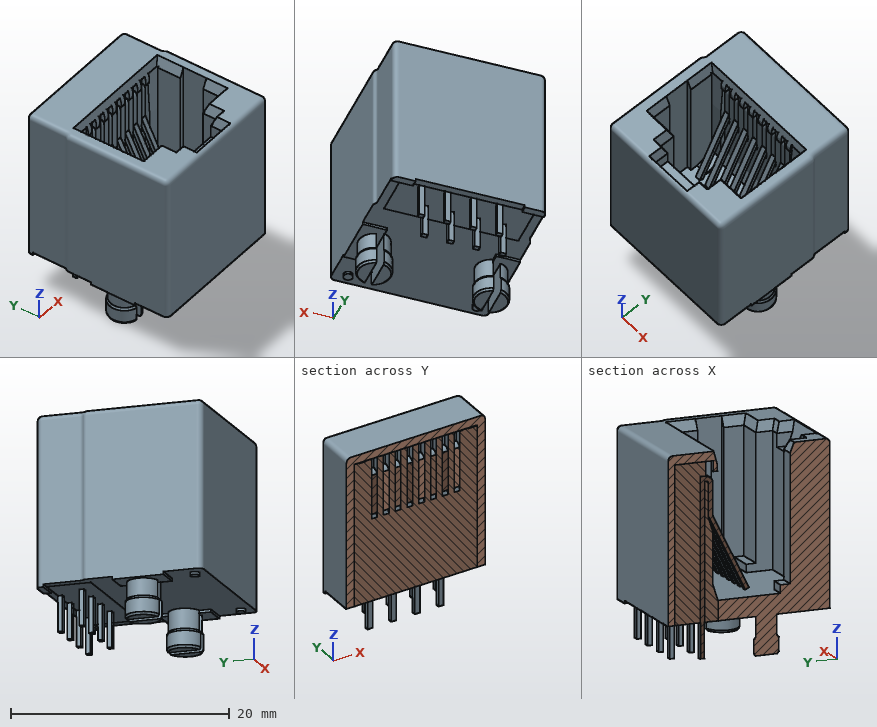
import cadquery as cq
import math


width = 15.4
depth = 16.2
foot_height = 0.25
post_length = 3.48
height = 19.9 - foot_height - post_length
edge_radius = 0.52
side_step = 0.24
step_start = 11.42
step_end = 11.72
step_radius = 0.5

floor_z = 1.99
lead_in = 1.0
cavity_half = 5.99
cavity_front = 4.02
keyway_half = 3.2
keyway_front = 2.37
latch_half = 2.19
mouth_flare = 0.48
mouth_flare_front = 0.4
mouth_flare_rear = 0.28
mouth_back = 11.6
latch_wall_top = 0.45
latch_wall_run = 0.8
latch_ledge_z = 13.85
shoulder_depth = 0.98
shoulder_rise = 0.8
side_notch_start = 6.03
side_notch_end = 8.64
ramp_length = 1.8
ramp_angle = 22.0

foot_inner_x = 5.33
side_foot_start = 3.75
side_foot_end = 8.72
rear_wall = 0.72
post_x = 5.71
post_y = 6.37
post_diameter = 3.1
post_head_diameter = 3.38
post_head_length = 1.83
post_chamfer = 0.24
post_slot = 0.72
nub_diameter = 0.9
nub_x = 6.3
nub_y = 1.17

contact_count = 8
contact_span = 8.9
contact_width = 0.55
contact_thickness = 0.44
contact_face = 11.68
contact_top = height - 2.3
contact_bend = 0.7
spring_start = height - 6.1
spring_angle = 63.4
spring_tip_y = 8.08
pin_length = 3.42
front_pin_y = 12.74
rear_pin_y = 15.26
contact_pitch = contact_span / (contact_count - 1)
contact_places = [i * contact_pitch - contact_span / 2 for i in range(contact_count)]

carrier_top = height - 0.94
carrier_back = depth - rear_wall
carrier_half = 6.57
panel_top_y = 11.46
panel_front = 11.18
panel_lean_height = 4.78
panel_radius = 0.44
contact_zone_half = (contact_span + contact_width) / 2
rib_foot_height = 1.53
groove_slope_start = height - 6.27
groove_slope_angle = 72.0

tooth_front = 11.22
tooth_bottom = height - 1.95


def box(x0, x1, y0, y1, z0, z1):
    return cq.Workplane().box(x1 - x0, y1 - y0, z1 - z0, centered=False).translate((x0, y0, z0))


def yz_prism(points, x0, x1):
    """Extrude a closed YZ outline from x0 to x1."""
    return cq.Workplane("YZ").polyline(points).close().extrude(x1 - x0).translate((x0, 0, 0))


def both_sides(body):
    return body.union(body.mirror("YZ"))


def make_shell():
    front_half = width / 2
    rear_half = front_half - side_step
    outline = [
        (-front_half, 0), (front_half, 0), (front_half, step_start), (rear_half, step_end),
        (rear_half, depth), (-rear_half, depth), (-rear_half, step_end), (-front_half, step_start),
    ]
    shell = cq.Workplane().polyline(outline).close().extrude(height)
    step_edges = cq.selectors.BoxSelector((-width, step_start - 0.02, -0.2), (width, step_end + 0.02, height + 0.2))
    shell = shell.edges("|Z").edges(step_edges).fillet(step_radius)
    shell = shell.edges("|Z").edges("<Y or >Y").fillet(edge_radius)
    return shell.faces(">Z").edges().fillet(edge_radius)


def plug_outline(flare, flare_front, back, latch_wall):
    """Stepped plug profile: wide body, keyway and latch slot, grown by the flares."""
    right = [
        (latch_half + flare_front, latch_wall),
        (latch_half + flare_front, keyway_front - flare_front),
        (keyway_half + flare, keyway_front - flare_front),
        (keyway_half + flare, cavity_front - flare_front),
        (cavity_half + flare, cavity_front - flare_front),
        (cavity_half + flare, back),
    ]
    return right + [(-x, y) for x, y in reversed(right)]


def make_cavity():
    latch_back = latch_wall_top + latch_wall_run
    rear = panel_front
    cavity = (
        cq.Workplane().workplane(offset=floor_z)
        .polyline(plug_outline(0, 0, rear, keyway_front)[1:-1]).close().extrude(height - floor_z)
    )
    mouth_inner = plug_outline(0, 0, mouth_back - mouth_flare_rear, keyway_front - mouth_flare_front)
    mouth_outer = plug_outline(mouth_flare, mouth_flare_front, mouth_back, keyway_front - 2 * mouth_flare_front)
    mouth = (
        cq.Workplane().workplane(offset=height - lead_in).polyline(mouth_inner).close()
        .workplane(offset=lead_in).polyline(mouth_outer).close().loft(ruled=True)
    )
    latch_side = [
        (latch_wall_top, height), (latch_back, latch_ledge_z),
        (keyway_front, latch_ledge_z), (keyway_front, height),
    ]
    latch = yz_prism(latch_side, -latch_half, latch_half)
    latch_mouth_profile = [
        (-latch_half, height - lead_in), (latch_half, height - lead_in),
        (latch_half + mouth_flare_front, height), (-latch_half - mouth_flare_front, height),
    ]
    latch_mouth = (
        cq.Workplane("XZ").polyline(latch_mouth_profile).close().extrude(-keyway_front)
        .intersect(yz_prism(latch_side, -width / 2, width / 2))
    )
    notch = box(cavity_half - 0.2, cavity_half + mouth_flare, side_notch_start, side_notch_end, floor_z, height)
    shoulder = box(
        keyway_half, cavity_half, cavity_front, cavity_front + shoulder_depth, floor_z, floor_z + shoulder_rise
    )
    ramp_rise = ramp_length * math.tan(math.radians(ramp_angle))
    ramp_side = [(rear, floor_z), (rear, floor_z + ramp_rise), (rear - ramp_length, floor_z)]
    ramp = yz_prism(ramp_side, contact_zone_half, cavity_half)
    cavity = cavity.cut(both_sides(shoulder)).cut(both_sides(ramp))
    return cavity.union(mouth).union(latch).union(latch_mouth).union(both_sides(notch))


def make_tooth():
    """One comb tooth, carrying the rear bevel on down to a plumb front."""
    slope = lead_in / mouth_flare_rear
    lip_y = mouth_back - (height - carrier_top) / slope
    bevel_end = height - (mouth_back - tooth_front) * slope
    side = [
        (contact_face, carrier_top), (lip_y, carrier_top), (tooth_front, bevel_end),
        (tooth_front, tooth_bottom), (contact_face, tooth_bottom),
    ]
    return yz_prism(side, -contact_width / 2, contact_width / 2)


def make_post():
    """Split snap post hanging from the underside, with a chamfered head."""
    head_bottom = -foot_height - post_length
    shaft = cq.Workplane().circle(post_diameter / 2).extrude(head_bottom)
    head = (
        cq.Workplane().workplane(offset=head_bottom).circle(post_head_diameter / 2)
        .extrude(post_head_length).edges().chamfer(post_chamfer, (post_head_diameter - post_diameter) / 2)
    )
    slot = box(
        -post_slot / 2, post_slot / 2, -post_head_diameter, post_head_diameter, head_bottom, -foot_height
    )
    return shaft.union(head).cut(slot).translate((post_x, post_y, 0))


def make_underside():
    side_foot = box(foot_inner_x, width / 2, side_foot_start, side_foot_end, -foot_height, 0)
    rear_foot = box(foot_inner_x, width / 2 - side_step, carrier_back, depth, -foot_height, 0)
    rear_foot = rear_foot.edges("|Z and >X and >Y").fillet(edge_radius)
    nub = cq.Workplane().circle(nub_diameter / 2).extrude(-foot_height).translate((nub_x, nub_y, 0))
    return [both_sides(part) for part in (side_foot, rear_foot, nub, make_post())]


def make_housing():
    carrier_bay = box(-carrier_half, carrier_half, panel_front, carrier_back, 0, carrier_top)
    housing = make_shell().cut(make_cavity()).cut(carrier_bay)
    for x in contact_places:
        housing = housing.union(make_tooth().translate((x, 0, 0)))
    for part in make_underside():
        housing = housing.union(part)
    return housing


def make_contact(pin_y):
    """Strip bent over the carrier: solder pin, hairpin bend, plumb face and angled spring."""
    t = contact_thickness
    angle = math.radians(spring_angle)
    face_back = contact_face + t
    pin_front = pin_y - t / 2
    pin_back = pin_y + t / 2
    bend_y = contact_face + contact_bend
    bend_z = contact_top - contact_bend
    inner_radius = contact_bend - t
    half = math.sqrt(0.5)
    tip_z = spring_start - (contact_face - spring_tip_y) * math.tan(angle)
    spring_back_start = spring_start - t * math.tan((math.pi / 2 - angle) / 2)
    return (
        cq.Workplane("YZ")
        .moveTo(pin_back, -pin_length)
        .lineTo(pin_back, contact_top)
        .lineTo(bend_y, contact_top)
        .threePointArc((bend_y - contact_bend * half, bend_z + contact_bend * half), (contact_face, bend_z))
        .lineTo(contact_face, spring_start)
        .lineTo(spring_tip_y, tip_z)
        .lineTo(spring_tip_y + t * math.sin(angle), tip_z - t * math.cos(angle))
        .lineTo(face_back, spring_back_start)
        .lineTo(face_back, bend_z)
        .threePointArc((bend_y - inner_radius * half, bend_z + inner_radius * half), (bend_y, contact_top - t))
        .lineTo(pin_front, contact_top - t)
        .lineTo(pin_front, -pin_length)
        .close()
        .extrude(contact_width / 2, both=True)
    )


def make_contacts():
    contacts = []
    for i, x in enumerate(contact_places):
        pin_y = front_pin_y if i % 2 == 0 else rear_pin_y
        contacts.append(make_contact(pin_y).translate((x, 0, 0)))
    return contacts


def make_groove():
    """Room in front of and below each contact: open over the bend, sloping out below the face."""
    back = contact_face + contact_thickness
    slope_end = groove_slope_start - contact_thickness * math.tan(math.radians(groove_slope_angle))
    side = [
        (contact_face, carrier_top), (contact_face + contact_bend, carrier_top),
        (contact_face + contact_bend, contact_top), (back, contact_top - contact_bend),
        (back, groove_slope_start), (contact_face, slope_end),
    ]
    return yz_prism(side, -contact_width / 2, contact_width / 2)


def make_carrier(contacts):
    core_side = [
        (contact_face, carrier_top), (carrier_back, carrier_top), (carrier_back, 0), (panel_front, 0),
        (panel_front, floor_z), (contact_face, floor_z + rib_foot_height),
    ]
    core = yz_prism(core_side, -contact_zone_half, contact_zone_half)
    panel_side = [
        (panel_top_y, carrier_top), (carrier_back, carrier_top), (carrier_back, 0), (panel_front, 0),
        (panel_front, carrier_top - panel_lean_height),
    ]
    panel = yz_prism(panel_side, contact_zone_half, carrier_half)
    panel = panel.edges("|X and >Z").edges("<Y").fillet(panel_radius)
    carrier = core.union(both_sides(panel))
    for x, contact in zip(contact_places, contacts):
        carrier = carrier.cut(make_groove().translate((x, 0, 0))).cut(contact)
    return carrier


housing = make_housing()
contacts = make_contacts()
carrier = make_carrier(contacts)

result = cq.Compound.makeCompound(
    [housing.solids().val(), carrier.solids().val(), *[contact.val() for contact in contacts]]
)